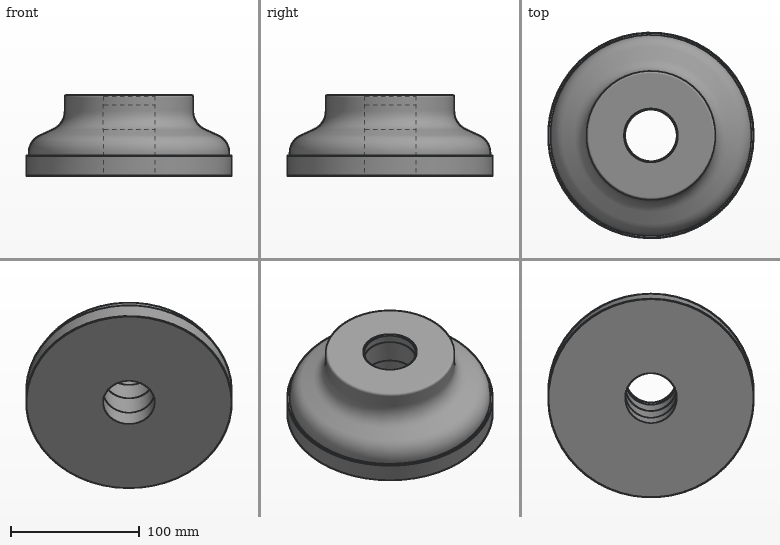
import cadquery as cq
import math

base_radius = 80.0
base_height = 16.0
base_chamfer = 0.5

total_height = 63.0
neck_radius = 50.0
neck_bottom_z = 50.0
dome_radius = 78.0
dome_bottom_z = 18.0
curve_radius = 15.0
neck_fillet = 2.0

bore_radius = 20.0
bore_chamfer = 1.0
relief_depth = 0.2
relief_top_z = 55.5
relief_bottom_z = 36.5


def make_base():
    """Flat ring with lightly broken outer edges."""
    disc = cq.Workplane("XY").circle(base_radius).extrude(base_height).edges().chamfer(base_chamfer)
    bore = cq.Workplane("XY").circle(bore_radius).extrude(base_height)
    return disc.cut(bore)


def point_on_arc(center, angle, side):
    """Point at an angle from vertical; side is +1 for up and out, -1 for down and in."""
    return (
        center[0] + side * curve_radius * math.sin(angle),
        center[1] + side * curve_radius * math.cos(angle),
    )


def make_bell_blank():
    """Revolved bell: straight foot, convex dome, tangent cone, concave flare and neck."""
    dome_center = (dome_radius - curve_radius, dome_bottom_z)
    flare_center = (neck_radius + curve_radius, neck_bottom_z)

    center_dx = flare_center[0] - dome_center[0]
    center_dz = flare_center[1] - dome_center[1]
    center_distance = math.hypot(center_dx, center_dz)
    cone_angle = math.atan2(center_dx, center_dz) + math.acos(2 * curve_radius / center_distance)
    mid_angle = (cone_angle + math.pi / 2) / 2

    profile = (
        cq.Workplane("XZ")
        .moveTo(0, base_height)
        .lineTo(dome_radius, base_height)
        .lineTo(dome_radius, dome_bottom_z)
        .threePointArc(point_on_arc(dome_center, mid_angle, 1), point_on_arc(dome_center, cone_angle, 1))
        .lineTo(*point_on_arc(flare_center, cone_angle, -1))
        .threePointArc(point_on_arc(flare_center, mid_angle, -1), (neck_radius, neck_bottom_z))
        .lineTo(neck_radius, total_height)
        .lineTo(0, total_height)
        .close()
    )
    return profile.revolve(360, (0, 0, 0), (0, 1, 0)).faces(">Z").edges().fillet(neck_fillet)


def make_housing():
    """Bell with a chamfered, relieved bore, seated on the base ring."""
    bore = cq.Workplane("XY").circle(bore_radius).extrude(total_height)
    relief = (
        cq.Workplane("XY", origin=(0, 0, relief_bottom_z))
        .circle(bore_radius + relief_depth)
        .extrude(relief_top_z - relief_bottom_z)
    )
    bored = make_bell_blank().cut(bore)
    bore_rim = bored.faces(">Z").edges(cq.selectors.RadiusNthSelector(0))
    return bore_rim.chamfer(bore_chamfer).cut(relief)


base = make_base()
housing = make_housing()

result = cq.Compound.makeCompound([base.val(), housing.val()])